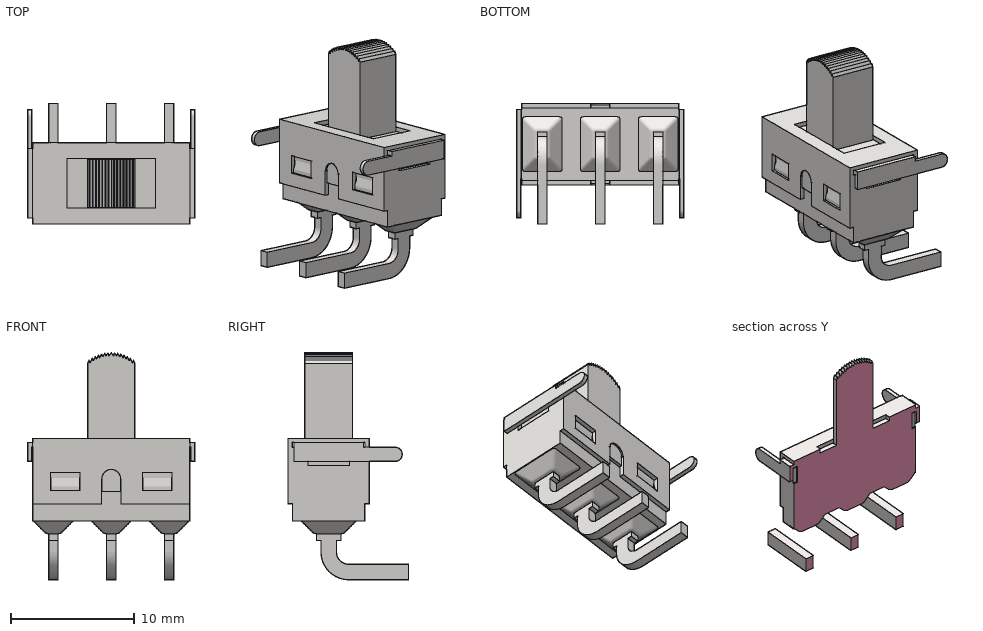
import cadquery as cq
import math


OVERALL_DEPTH = 9.78
OVERALL_HEIGHT = 18.41

SHELL_LENGTH = 12.74
SHELL_DEPTH = 6.6
SHELL_BOTTOM = 6.15
SHELL_TOP = 11.47
WALL = 0.37

BASE_BOTTOM = 4.77
BASE_DEPTH = SHELL_DEPTH - 2 * WALL

OPENING_LENGTH = 7.18
OPENING_DEPTH = 4.0

KNOB_LENGTH = 3.85
KNOB_DEPTH = 3.88
CROWN_RADIUS = 2.95
CROWN_EDGE_Z = 17.55
TOOTH_COUNT = 15
TOOTH_HEIGHT = 0.22
TOOTH_STEEP_RUN = 0.07

SLOT_WIDTH = 1.62
SLOT_ARCH_Z = 8.2
CLEARANCE = 0.05
TONGUE_WIDTH = SLOT_WIDTH - 2 * CLEARANCE
TONGUE_BOTTOM = 7.18
TONGUE_RECESS = 0.13

WINDOW_WIDTH = 2.41
WINDOW_BOTTOM = 7.24
WINDOW_TOP = 8.69
WINDOW_OFFSET = 3.72
HOOK_TOP = 8.25
HOOK_NOSE_Z = 7.53
HOOK_PROTRUSION = 0.17

EAR_SPAN = 13.57
EAR_BOTTOM = 9.6
EAR_ARM_TOP = 10.75
EAR_TOP = 11.14
EAR_PLATE_DEPTH = 5.65
EAR_TIP_Y = 5.96
END_WINDOW_DEPTH = 3.33
END_WINDOW_BOTTOM = 9.26
CHANNEL_WIDTH = (BASE_DEPTH - EAR_PLATE_DEPTH) / 2

TERMINAL_PITCH = 4.7
TERMINAL_THICKNESS = 0.77
TERMINAL_WIDTH = 1.27
TERMINAL_END_Y = OVERALL_DEPTH - SHELL_DEPTH / 2
SHOULDER_WIDTH = 2.0
SHOULDER_BOTTOM = 3.18
BEND_INNER_RADIUS = 1.0
COLLAR_LENGTH = 3.22
COLLAR_DEPTH = 4.45
COLLAR_BOTTOM = 3.74
COLLAR_ROUND = 0.37
COLLAR_TAPER_ANGLE = 45


def block(x_range, y_range, z_range):
    """Axis-aligned block between the given limits."""
    corner = (x_range[0], y_range[0], z_range[0])
    size = (x_range[1] - x_range[0], y_range[1] - y_range[0], z_range[1] - z_range[0])
    return cq.Workplane("XY").box(*size, centered=False).translate(corner)


def centred_block(length, depth, bottom, top):
    """Block centred on the Z axis between two heights."""
    return block((-length / 2, length / 2), (-depth / 2, depth / 2), (bottom, top))


def front_and_back(solid):
    """Add the mirror image on the opposite long side."""
    return solid.union(solid.mirror("XZ"))


def both_ends(solid):
    """Add the mirror image on the opposite end."""
    return solid.union(solid.mirror("YZ"))


def make_shell():
    """Shell with the slider opening sunk one wall thickness into its top."""
    shell = centred_block(SHELL_LENGTH, SHELL_DEPTH, SHELL_BOTTOM, SHELL_TOP)
    return shell.cut(centred_block(OPENING_LENGTH, OPENING_DEPTH, SHELL_TOP - WALL, SHELL_TOP))


def arch(bottom, height):
    """Round-topped tongue shape standing out from the front face of the base."""
    half_width = TONGUE_WIDTH / 2
    return (
        cq.Workplane("XZ", origin=(0, -BASE_DEPTH / 2, 0))
        .moveTo(-half_width, bottom)
        .lineTo(-half_width, SLOT_ARCH_Z)
        .threePointArc((0, SLOT_ARCH_Z + half_width), (half_width, SLOT_ARCH_Z))
        .lineTo(half_width, bottom)
        .close()
        .extrude(height)
    )


def make_slots():
    """Arched slots, open at the bottom, with clearance along their straight sides."""
    straight = block(
        (-SLOT_WIDTH / 2, SLOT_WIDTH / 2),
        (-SHELL_DEPTH / 2, -BASE_DEPTH / 2),
        (SHELL_BOTTOM, SLOT_ARCH_Z),
    )
    return front_and_back(arch(SHELL_BOTTOM, WALL).union(straight))


def make_tongues():
    """Tongues filling the slot arches, set back from the shell faces."""
    return front_and_back(arch(TONGUE_BOTTOM, WALL - TONGUE_RECESS))


def make_windows():
    """Windows through both long walls, one pair at each end."""
    x_range = (WINDOW_OFFSET - WINDOW_WIDTH / 2, WINDOW_OFFSET + WINDOW_WIDTH / 2)
    window = block(x_range, (-SHELL_DEPTH / 2, -BASE_DEPTH / 2), (WINDOW_BOTTOM, WINDOW_TOP))
    return both_ends(front_and_back(window))


def make_hooks():
    """Wedge-shaped snap hooks standing in the windows."""
    hook_width = WINDOW_WIDTH - 2 * CLEARANCE
    root_y = -BASE_DEPTH / 2
    nose_y = root_y - HOOK_PROTRUSION
    hook = (
        cq.Workplane("YZ", origin=(WINDOW_OFFSET - hook_width / 2, 0, 0))
        .moveTo(root_y, WINDOW_BOTTOM)
        .lineTo(nose_y, WINDOW_BOTTOM)
        .lineTo(nose_y, HOOK_NOSE_Z)
        .lineTo(root_y, HOOK_TOP)
        .close()
        .extrude(hook_width)
    )
    return both_ends(front_and_back(hook))


def make_knob():
    """Slider knob; the tooth tips lie on an arc and the teeth are steeper toward the middle."""
    pitch = KNOB_LENGTH / TOOTH_COUNT
    crown = [(0, OVERALL_HEIGHT)]
    for i in range(1, TOOTH_COUNT // 2 + 1):
        tip_x = i * pitch
        tip_z = OVERALL_HEIGHT - CROWN_RADIUS + math.sqrt(CROWN_RADIUS**2 - tip_x**2)
        crown.append((tip_x - TOOTH_STEEP_RUN, tip_z - TOOTH_HEIGHT))
        crown.append((tip_x, tip_z))
    crown.append((KNOB_LENGTH / 2, CROWN_EDGE_Z))
    outline = [(0, SHELL_TOP - WALL)] + crown + [(KNOB_LENGTH / 2, SHELL_TOP - WALL)]
    half = cq.Workplane("XZ").polyline(outline).close().extrude(KNOB_DEPTH / 2, both=True)
    return both_ends(half)


def make_ears():
    """End plates, each with a round-tipped arm reaching past the back of the shell."""
    shell_end = SHELL_LENGTH / 2
    half_depth = EAR_PLATE_DEPTH / 2
    tip_radius = (EAR_ARM_TOP - EAR_BOTTOM) / 2
    ear = (
        cq.Workplane("YZ", origin=(shell_end, 0, 0))
        .moveTo(-half_depth, EAR_BOTTOM)
        .lineTo(EAR_TIP_Y - tip_radius, EAR_BOTTOM)
        .threePointArc((EAR_TIP_Y, EAR_BOTTOM + tip_radius), (EAR_TIP_Y - tip_radius, EAR_ARM_TOP))
        .lineTo(half_depth, EAR_ARM_TOP)
        .lineTo(half_depth, EAR_TOP)
        .lineTo(-half_depth, EAR_TOP)
        .close()
        .extrude((EAR_SPAN - SHELL_LENGTH) / 2)
    )
    gap = block(
        (shell_end, shell_end + CLEARANCE), (-half_depth, EAR_TIP_Y), (EAR_BOTTOM, EAR_ARM_TOP)
    )
    return both_ends(ear.cut(gap))


def make_end_windows():
    """Shallow windows in the shell ends, behind and just below the ears."""
    x_range = (SHELL_LENGTH / 2 - WALL, SHELL_LENGTH / 2)
    y_range = (-END_WINDOW_DEPTH / 2, END_WINDOW_DEPTH / 2)
    return both_ends(block(x_range, y_range, (END_WINDOW_BOTTOM, EAR_ARM_TOP)))


def make_channels():
    """Narrow clearance channels running the full length beside the ear roots."""
    channel = block(
        (-SHELL_LENGTH / 2, SHELL_LENGTH / 2),
        (-BASE_DEPTH / 2, -BASE_DEPTH / 2 + CHANNEL_WIDTH),
        (EAR_ARM_TOP, EAR_TOP),
    )
    return front_and_back(channel)


def make_terminal():
    """Collar and right-angle terminal, centred on X = 0."""
    taper_height = BASE_BOTTOM - COLLAR_BOTTOM
    collar = (
        cq.Workplane("XY", origin=(0, 0, BASE_BOTTOM))
        .rect(COLLAR_LENGTH, COLLAR_DEPTH)
        .extrude(-taper_height, taper=COLLAR_TAPER_ANGLE)
        .edges("not >Z")
        .fillet(COLLAR_ROUND)
    )
    half_width = TERMINAL_WIDTH / 2
    bend_y = half_width + BEND_INNER_RADIUS
    outer_radius = TERMINAL_WIDTH + BEND_INNER_RADIUS
    bend_z = outer_radius
    diagonal = math.sqrt(0.5)
    pin = (
        cq.Workplane("YZ")
        .moveTo(-half_width, COLLAR_BOTTOM)
        .lineTo(-half_width, bend_z)
        .threePointArc((bend_y - outer_radius * diagonal, bend_z - outer_radius * diagonal), (bend_y, 0))
        .lineTo(TERMINAL_END_Y, 0)
        .lineTo(TERMINAL_END_Y, TERMINAL_WIDTH)
        .lineTo(bend_y, TERMINAL_WIDTH)
        .threePointArc(
            (bend_y - BEND_INNER_RADIUS * diagonal, bend_z - BEND_INNER_RADIUS * diagonal),
            (half_width, bend_z),
        )
        .lineTo(half_width, COLLAR_BOTTOM)
        .close()
        .extrude(TERMINAL_THICKNESS / 2, both=True)
    )
    shoulder = centred_block(TERMINAL_THICKNESS, SHOULDER_WIDTH, SHOULDER_BOTTOM, COLLAR_BOTTOM)
    return collar.union(pin).union(shoulder)


base = centred_block(SHELL_LENGTH, BASE_DEPTH, BASE_BOTTOM, SHELL_BOTTOM)

result = make_shell().cut(make_slots()).cut(make_windows())
result = result.cut(make_end_windows()).cut(make_channels())
result = result.union(base).union(make_tongues()).union(make_hooks())
result = result.union(make_ears()).union(make_knob())

terminal = make_terminal()
for position in (-1, 0, 1):
    result = result.union(terminal.translate((position * TERMINAL_PITCH, 0, 0)))